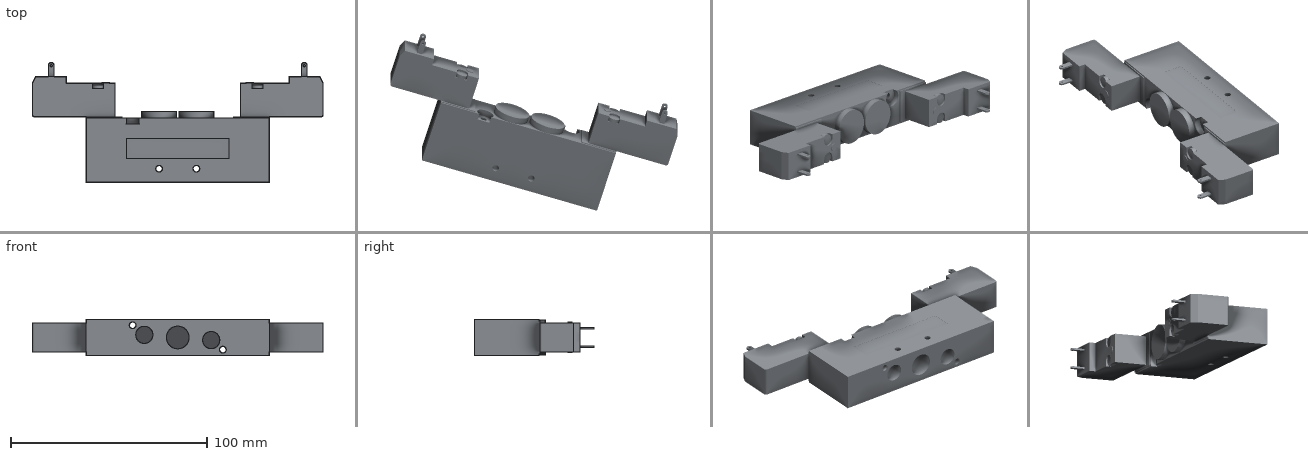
import cadquery as cq

overall_length = 148.2
overall_depth = 61.0

body_length = 93.4
body_depth = 32.9
body_height = 18.5

center_port_diameter = 11.5
side_port_diameter = 8.7
side_port_x = 17.0
side_port_z = 1.3
port_depth = 17.8

mount_hole_diameter = 3.3
mount_hole_x = 9.5
mount_hole_y = 7.0

screw_hole_diameter = 3.3
screw_hole_x = 23.0
screw_hole_z = 6.2
counterbore_diameter = 8.7
counterbore_depth = 3.1

label_length = 52.2
label_width = 10.2
label_center_y = 17.2
label_depth = 0.07

pad_length = 18.4
pad_height = 16.9
pad_thickness = 0.5

disc_diameter = 18.0
disc_thickness = 3.3
disc_x = 9.5

solenoid_height = 14.8
solenoid_inner_x = 31.9
solenoid_step_x = 56.8
solenoid_outer_x = overall_length / 2
solenoid_front_y = body_depth + pad_thickness
solenoid_low_y = 50.5
solenoid_high_y = 54.0
taper_width = 1.6
corner_radius = 1.2

screw_head_diameter = 5.8
screw_head_height = 2.0
screw_slot_depth = 2.8
screw_x = 40.6
screw_z = 4.9

button_diameter = 3.9
button_height = 0.3
button_x = 36.8

prong_width = 3.0
prong_thickness = 0.9
prong_x = 64.5
prong_z = 4.7
prong_hole_diameter = 1.0
prong_hole_y = 59.5


def box(x_range, y_range, z_range):
    """Box spanning the given (low, high) range on each axis."""
    ranges = (x_range, y_range, z_range)
    sizes = [high - low for low, high in ranges]
    lows = tuple(low for low, high in ranges)
    return cq.Workplane("XY").box(*sizes, centered=False).translate(lows)


def cylinder_along_y(diameter, length, x, y, z):
    """Cylinder that starts at the given point and runs toward +Y."""
    return cq.Workplane(cq.Solid.makeCylinder(diameter / 2, length, cq.Vector(x, y, z), cq.Vector(0, 1, 0)))


def cylinder_along_z(diameter, length, x, y):
    """Cylinder centered on the plane Z = 0."""
    start = cq.Vector(x, y, -length / 2)
    return cq.Workplane(cq.Solid.makeCylinder(diameter / 2, length, start, cq.Vector(0, 0, 1)))


def make_body():
    """Valve body with solenoid seats, ports, screw holes and label recess."""
    half_length = body_length / 2
    half_height = body_height / 2
    body = box((-half_length, half_length), (0, body_depth), (-half_height, half_height))

    for low_x in (-half_length, half_length - pad_length):
        body = body.union(
            box(
                (low_x, low_x + pad_length),
                (body_depth, body_depth + pad_thickness),
                (-pad_height / 2, pad_height / 2),
            )
        )

    body = body.cut(cylinder_along_y(center_port_diameter, port_depth, 0, 0, 0))
    for side in (-1, 1):
        body = body.cut(
            cylinder_along_y(side_port_diameter, port_depth, side * side_port_x, 0, -side * side_port_z)
        )

    for side in (-1, 1):
        body = body.cut(cylinder_along_z(mount_hole_diameter, body_height, side * mount_hole_x, mount_hole_y))

    for side in (-1, 1):
        x = side * screw_hole_x
        z = -side * screw_hole_z
        counterbore_y = body_depth - counterbore_depth
        body = body.cut(cylinder_along_y(screw_hole_diameter, body_depth, x, 0, z))
        body = body.cut(cylinder_along_y(counterbore_diameter, counterbore_depth, x, counterbore_y, z))

    label_recess = box(
        (-label_length / 2, label_length / 2),
        (label_center_y - label_width / 2, label_center_y + label_width / 2),
        (half_height - label_depth, half_height),
    )
    return body.cut(label_recess)


def make_disc(x):
    """Disc seated on the rear face of the body."""
    return cylinder_along_y(disc_diameter, disc_thickness, x, body_depth, 0)


def make_solenoid_case():
    """Stepped housing with a tapered upper corner and a rounded lower corner at its outer end."""
    return (
        cq.Workplane("XY", origin=(0, 0, -solenoid_height / 2))
        .moveTo(solenoid_inner_x, solenoid_front_y)
        .lineTo(solenoid_outer_x - corner_radius, solenoid_front_y)
        .radiusArc((solenoid_outer_x, solenoid_front_y + corner_radius), -corner_radius)
        .lineTo(solenoid_outer_x, solenoid_low_y)
        .lineTo(solenoid_outer_x - taper_width, solenoid_high_y)
        .lineTo(solenoid_step_x, solenoid_high_y)
        .lineTo(solenoid_step_x, solenoid_low_y)
        .lineTo(solenoid_inner_x, solenoid_low_y)
        .close()
        .extrude(solenoid_height)
    )


def add_screw(solenoid, side):
    """Screw head standing in a U-shaped slot that opens at the top (side 1) or bottom (side -1) face."""
    floor_y = solenoid_low_y - screw_slot_depth
    z = side * screw_z
    face_z = side * solenoid_height / 2
    half_width = screw_head_diameter / 2
    slot_round = cylinder_along_y(screw_head_diameter, screw_slot_depth, screw_x, floor_y, z)
    slot_mouth = box(
        (screw_x - half_width, screw_x + half_width),
        (floor_y, solenoid_low_y),
        (min(z, face_z), max(z, face_z)),
    )
    head = cylinder_along_y(screw_head_diameter, screw_head_height, screw_x, floor_y, z)
    return solenoid.cut(slot_round).cut(slot_mouth).union(head)


def make_prong(z):
    """Flat contact prong with a rounded, drilled tip."""
    half_width = prong_width / 2
    tip_center_y = overall_depth - half_width
    prong = (
        cq.Workplane("XY", origin=(prong_x, 0, z - prong_thickness / 2))
        .moveTo(-half_width, solenoid_high_y)
        .lineTo(half_width, solenoid_high_y)
        .lineTo(half_width, tip_center_y)
        .threePointArc((0, overall_depth), (-half_width, tip_center_y))
        .close()
        .extrude(prong_thickness)
    )
    return prong.cut(cylinder_along_z(prong_hole_diameter, solenoid_height, prong_x, prong_hole_y))


def make_solenoid():
    """Solenoid at the +X end."""
    solenoid = make_solenoid_case()
    for side in (-1, 1):
        solenoid = add_screw(solenoid, side)
        solenoid = solenoid.union(make_prong(side * prong_z))
    button = cylinder_along_y(button_diameter, button_height, button_x, solenoid_low_y, 0)
    return solenoid.union(button)


body = make_body()
discs = [make_disc(side * disc_x) for side in (-1, 1)]
right_solenoid = make_solenoid()
left_solenoid = right_solenoid.mirror("YZ")

result = cq.Compound.makeCompound(
    [body.val(), *[disc.val() for disc in discs], right_solenoid.val(), left_solenoid.val()]
)